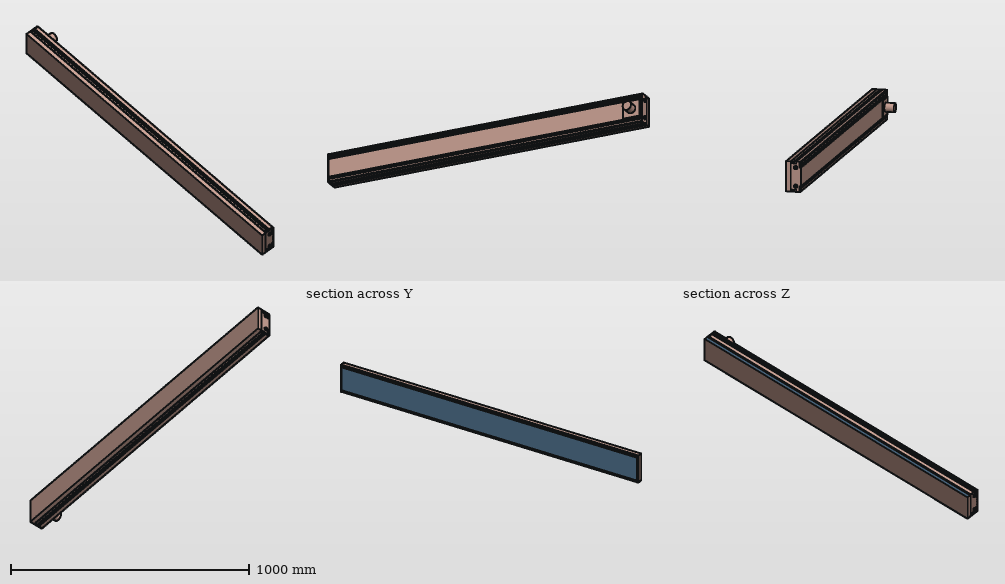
import cadquery as cq

total_length = 1474
height = 130.0
middle_z = height / 2

screw_head_height = 3.0
screw_head_diameter = 15.0
screw_socket_diameter = 7.0
screw_y = 43.0
screw_offset = 40.0

panel_start = screw_head_height
panel_length = total_length - 2 * screw_head_height
panel_depth = 20.0
back_y = 65.0
edge_chamfer = 3.0
cap_thickness = 5.0
rail_start = panel_start + cap_thickness
rail_length = panel_length - 2 * cap_thickness

groove_mouth = 9.6
groove_depth = 9.0
groove_lip = 5.0
groove_undercut = 9.6
side_groove_y = 44.0
back_groove_offset = 40.0

connector_x = 53.0
flange_size = 75.0
flange_thickness = 5.2
stem_diameter = 40.0
stem_end_y = 110.0


def box(x, y, z, x_size, y_size, z_size):
    """Box with its lowest corner at (x, y, z)."""
    return cq.Workplane("XY").box(x_size, y_size, z_size, centered=False).translate((x, y, z))


def mirrored_in_height(shape):
    """Mirror image of a shape about the middle height."""
    return shape.mirror("XY", (0, 0, middle_z))


def back_block(x, length):
    """Block that fills the section behind the panel, with its back edges broken."""
    block = box(x, panel_depth, 0, length, back_y - panel_depth, height)
    return block.edges("|X and >Y").chamfer(edge_chamfer)


def make_panel():
    return box(panel_start, 0, 0, panel_length, panel_depth, height)


def groove_in_top():
    """Groove in the top face, undercut towards the panel."""
    floor_z = height - groove_depth
    mouth_y = side_groove_y - groove_mouth
    mouth = box(rail_start, mouth_y, floor_z, rail_length, groove_mouth, groove_depth)
    undercut = box(
        rail_start,
        mouth_y - groove_undercut,
        floor_z,
        rail_length,
        groove_undercut,
        groove_depth - groove_lip,
    )
    return mouth.union(undercut)


def groove_in_back():
    """Groove in the upper part of the back face, undercut upwards."""
    floor_y = back_y - groove_depth
    mouth_z = middle_z + back_groove_offset
    mouth = box(rail_start, floor_y, mouth_z, rail_length, groove_depth, groove_mouth)
    undercut = box(
        rail_start,
        floor_y,
        mouth_z + groove_mouth,
        rail_length,
        groove_depth - groove_lip,
        groove_undercut,
    )
    return mouth.union(undercut)


def make_rail():
    """Extruded rail with the same two grooves in its upper and lower halves."""
    rail = back_block(rail_start, rail_length)
    for groove in (groove_in_top(), groove_in_back()):
        rail = rail.cut(groove).cut(mirrored_in_height(groove))
    return rail


def make_left_cap():
    """End cap with two socketed screw heads on its outer face."""
    cap = back_block(panel_start, cap_thickness)
    heads = (
        cq.Workplane("YZ", origin=(panel_start, screw_y, middle_z))
        .pushPoints([(0, -screw_offset), (0, screw_offset)])
        .circle(screw_head_diameter / 2)
        .circle(screw_socket_diameter / 2)
        .extrude(-screw_head_height)
    )
    return cap.union(heads)


def make_connector():
    flange = box(
        connector_x - flange_size / 2,
        back_y,
        middle_z - flange_size / 2,
        flange_size,
        flange_thickness,
        flange_size,
    )
    stem = (
        cq.Workplane("XZ", origin=(connector_x, back_y, middle_z))
        .transformed(rotate=(0, 0, 90))
        .circle(stem_diameter / 2)
        .extrude(back_y - stem_end_y)
    )
    return flange.union(stem)


panel = make_panel()
rail = make_rail()
left_cap = make_left_cap()
right_cap = left_cap.mirror("YZ", (total_length / 2, 0, 0))
connector = make_connector()

bodies = [panel, rail, left_cap, right_cap, connector]
result = cq.Compound.makeCompound([body.solids().val() for body in bodies])